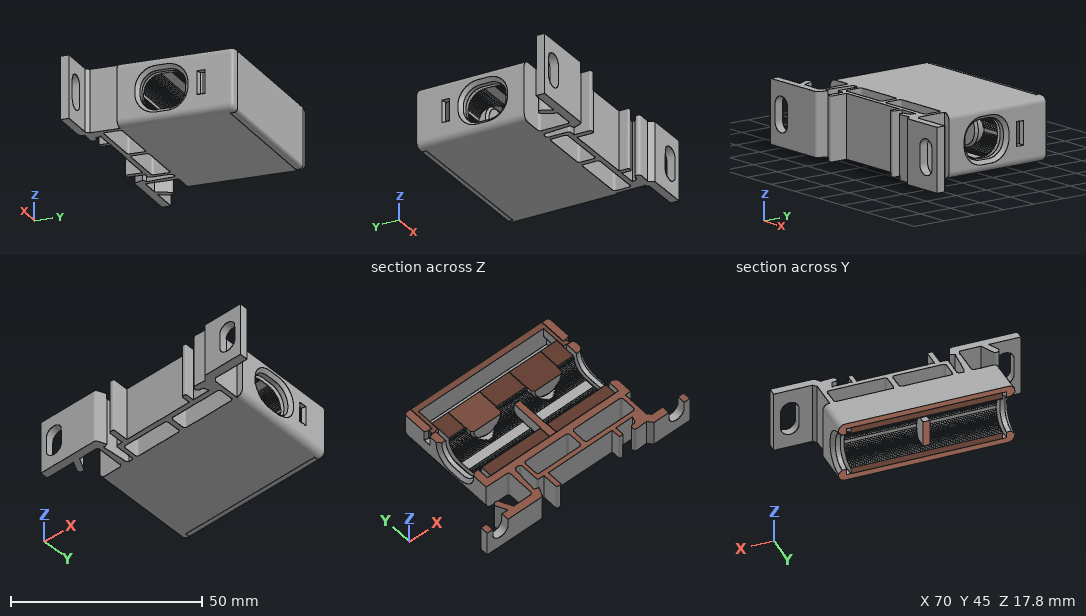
import cadquery as cq
import math

length = 70.0
depth = 45.0
height = 17.8
case_width = 50.0
case_bottom = 12.0
side_edge_radius = 1.95
lid_edge_radius = 1.1

flange_thickness = 2.6
beam_bottom = 5.1
window_bottom = 6.65
foot_right = 23.1
leg_left = -17.2
beam_left = -13.15
slot_spacing = 60.75
slot_width = 5.2
slot_length = 9.9
foot_radius = 0.8
beam_corner_radius = 0.55
rib_radius = 0.4
lever_radius = 1.0
lever_root = (-24.5, 2.1)
lever_tip = (-26.3, 5.8)

cavity_half_width = 22.55
cavity_height = 14.3
cavity_bottom = 14.35
lid_bottom = 43.0
block_half_width = 21.5
block_top = 37.8

entry_y = 24.5
entry_flat_y = 3.1
entry_flat_z = 1.1
entry_radius = 4.9
entry_chamfer = 1.05
teeth_per_corner = 15
tooth_depth = 0.3

latch_y = 35.7
latch_width = 2.3
latch_height = 6.6
latch_taper_y = 0.525
latch_taper_z = 0.2
latch_depth = 1.05
tab_slope_drop = 0.2

screw_spacing = 21.0
screw_radius = 5.3
screw_chamfer = 0.7
screw_tip = 28.35
stop_thickness = 2.1
stop_width = 7.8
stop_top = 28.7
stop_radius = 1.9

case_half = case_width / 2
tab_width = latch_width - 2 * latch_taper_y
tab_height = latch_height - 2 * latch_taper_z


def box(x_range, y_range, size_z):
    """Box between two X values and two Y values, centred on Z = 0."""
    size_x = x_range[1] - x_range[0]
    size_y = y_range[1] - y_range[0]
    corner = (x_range[0], y_range[0], -size_z / 2)
    return cq.Workplane("XY").box(size_x, size_y, size_z, centered=False).translate(corner)


def along_z(outline):
    """Extrude a closed XY outline over the full height."""
    return outline.extrude(height / 2, both=True)


def round_edges(body, places, radius):
    """Round the edges parallel to Z that pass nearest to the given XY places."""
    for x, y in places:
        body = body.edges("|Z").edges(cq.selectors.NearestToPointSelector((x, y, 0))).fillet(radius)
    return body


def mirrored(body):
    """A body together with its mirror image across X = 0."""
    return body.union(body.mirror("YZ"))



def make_case():
    """Solid case envelope with rounded side and lid edges."""
    case = box((-case_half, case_half), (case_bottom, depth), height)
    case = case.edges("|Y").fillet(side_edge_radius)
    return case.faces(">Y").edges().fillet(lid_edge_radius)


def make_left_leg():
    """Flange and springy leg that ends in the left rail hook."""
    leg = along_z(
        cq.Workplane("XY")
        .moveTo(-length / 2, 0)
        .lineTo(-16.3, 0)
        .threePointArc((-15.8, 0.2), (-15.5, 0.7))
        .lineTo(-14.5, 3.0)
        .lineTo(-15.9, 3.5)
        .lineTo(-15.3, 10.6)
        .threePointArc((-15.1, 11.55), (-14.7, case_bottom))
        .lineTo(leg_left, case_bottom)
        .lineTo(leg_left, flange_thickness)
        .lineTo(-length / 2, flange_thickness)
        .close()
    )
    return round_edges(leg, [(leg_left, flange_thickness)], foot_radius)


def make_lever():
    """Slanted release lever with a round tip on the left flange."""
    run = lever_tip[0] - lever_root[0]
    rise = lever_tip[1] - lever_root[1]
    span = math.hypot(run, rise)
    shaft = along_z(cq.Workplane("XY").center(span / 2, 0).rect(span, 2 * lever_radius))
    shaft = shaft.rotate((0, 0, 0), (0, 0, 1), math.degrees(math.atan2(rise, run)))
    shaft = shaft.translate((*lever_root, 0))
    tip = along_z(cq.Workplane("XY").center(*lever_tip).circle(lever_radius))
    return shaft.union(tip)


def make_beam():
    """Hollow beam under the case with two rail ribs."""
    beam = box((beam_left, foot_right), (beam_bottom, case_bottom), height)
    beam = round_edges(beam, [(beam_left, beam_bottom)], beam_corner_radius)
    for left, right in [(-11.9, 3.2), (4.75, 21.7)]:
        window = box((left, right), (window_bottom, case_bottom), height)
        beam = beam.cut(window.edges("|Z").fillet(foot_radius))
    for left, right, bottom in [(-11.0, -9.4, 0.0), (12.5, 13.9, 2.2)]:
        rib = box((left, right), (bottom, beam_bottom), height)
        beam = beam.union(rib.edges("|Z and <Y").fillet(rib_radius))
    return beam


def make_right_leg():
    """Fixed rail hook and the right flange."""
    return along_z(
        cq.Workplane("XY")
        .moveTo(19.45, beam_bottom)
        .lineTo(19.05, 3.7)
        .threePointArc((18.75, 3.4), (18.05, 3.3))
        .threePointArc((17.0, 2.3), (17.9, 1.3))
        .lineTo(21.3, 1.55)
        .lineTo(22.55, 0)
        .lineTo(length / 2, 0)
        .lineTo(length / 2, flange_thickness)
        .lineTo(24.0, flange_thickness)
        .lineTo(foot_right, 3.5)
        .lineTo(foot_right, beam_bottom)
        .close()
    )


def make_corner_webs():
    """Small concave fillets where the left leg and the beam meet the case."""
    webs = []
    center_y = case_bottom - foot_radius
    for x in [leg_left, beam_left]:
        square = box((x - foot_radius, x), (center_y, case_bottom), height)
        round_cut = along_z(cq.Workplane("XY").center(x - foot_radius, center_y).circle(foot_radius))
        webs.append(square.cut(round_cut))
    return webs


def make_flange_slots():
    """Two upright screw slots through the flanges."""
    return (
        cq.Workplane("XZ")
        .pushPoints([(-slot_spacing / 2, 0), (slot_spacing / 2, 0)])
        .slot2D(slot_length, slot_width, 90)
        .extrude(-flange_thickness)
    )


def entry_outline(workplane, offset):
    """Rounded rectangle of the wire entry, grown by an offset."""
    size_y = entry_flat_y + 2 * (entry_radius + offset)
    size_z = entry_flat_z + 2 * (entry_radius + offset)
    sketch = cq.Sketch().rect(size_y, size_z).vertices().fillet(entry_radius + offset)
    return workplane.center(entry_y, 0).placeSketch(sketch)


def make_entries():
    """Wire entries through both end walls, with a wide chamfer outside."""
    hole = entry_outline(cq.Workplane("YZ"), 0).extrude(case_half)
    mouth = entry_outline(cq.Workplane("YZ", (case_half, 0, 0)), entry_chamfer).extrude(-entry_chamfer, taper=45)
    return mirrored(hole.union(mouth))


def make_latch_windows():
    """Windows that narrow inward to the latch tabs in both end walls."""
    mouth = (
        cq.Workplane("YZ", (case_half, 0, 0))
        .center(latch_y, 0)
        .rect(latch_width, latch_height)
        .workplane(offset=-latch_depth)
        .rect(tab_width, tab_height)
        .loft()
    )
    neck = (
        cq.Workplane("YZ", (cavity_half_width, 0, 0))
        .center(latch_y, 0)
        .rect(tab_width, tab_height)
        .extrude(case_half - latch_depth - cavity_half_width)
    )
    return mirrored(mouth.union(neck))


case = make_case()
lid_space = box((-cavity_half_width, cavity_half_width), (lid_bottom, depth), height)
cavity = box((-cavity_half_width, cavity_half_width), (cavity_bottom, lid_bottom), cavity_height)

housing = case.cut(lid_space).cut(cavity).cut(make_entries()).cut(make_latch_windows())
for foot_piece in [make_left_leg(), make_lever(), make_beam(), make_right_leg(), *make_corner_webs()]:
    housing = housing.union(foot_piece)
housing = housing.cut(make_flange_slots())



def make_latch_arms():
    """Arms down both ends of the cavity, each with a tab in its window."""
    tab_face = case_half - latch_depth
    tab_bottom = latch_y - tab_width / 2
    tab_top = latch_y + tab_width / 2
    arm = box((block_half_width, cavity_half_width), (tab_bottom, lid_bottom), tab_height)
    tab = (
        cq.Workplane("XY")
        .moveTo(cavity_half_width, tab_bottom)
        .lineTo(tab_face, tab_bottom)
        .lineTo(tab_face - tab_slope_drop, latch_y)
        .lineTo(tab_face - tab_slope_drop, tab_top)
        .lineTo(cavity_half_width, tab_top)
        .close()
        .extrude(tab_height / 2, both=True)
    )
    return mirrored(arm.union(tab))


lid = case.intersect(lid_space).union(make_latch_arms())



def toothed_bore():
    """Wire bore through the block: its round corners carry fine teeth along X."""
    points = []
    step = math.pi / 2 / teeth_per_corner
    corners = [(1, 1), (-1, 1), (-1, -1), (1, -1)]
    for quarter, (side_y, side_z) in enumerate(corners):
        center_y = side_y * entry_flat_y / 2
        center_z = side_z * entry_flat_z / 2
        for half_step in range(2 * teeth_per_corner + 1):
            angle = quarter * math.pi / 2 + half_step * step / 2
            radius = entry_radius - tooth_depth * (half_step % 2)
            points.append((center_y + radius * math.cos(angle), center_z + radius * math.sin(angle)))
    return (
        cq.Workplane("YZ").center(entry_y, 0).polyline(points).close().extrude(block_half_width, both=True)
    )


def make_stop():
    """Flat wire stop with rounded top corners, standing on the cavity floor."""
    stop = box((-stop_thickness / 2, stop_thickness / 2), (cavity_bottom, stop_top), stop_width)
    return stop.edges("|X and >Y").fillet(stop_radius)


def make_screw(x):
    """Clamping screw along Y with a chamfered tip, flush with the block top."""
    screw = cq.Workplane("XZ", (x, screw_tip, 0)).circle(screw_radius).extrude(screw_tip - block_top)
    return screw.faces("<Y").chamfer(screw_chamfer)


def screw_hole(x):
    """Screw hole from the block top down into the wire bore."""
    return cq.Workplane("XZ", (x, entry_y, 0)).circle(screw_radius).extrude(entry_y - block_top)


screw_places = [-screw_spacing / 2, screw_spacing / 2]
stop = make_stop()
screws = [make_screw(x) for x in screw_places]

block = box((-block_half_width, block_half_width), (cavity_bottom, block_top), cavity_height)
block = block.cut(toothed_bore()).cut(stop)
for x in screw_places:
    block = block.cut(screw_hole(x))


result = cq.Compound.makeCompound(
    [housing.val(), lid.val(), block.val(), stop.val(), *[screw.val() for screw in screws]]
)